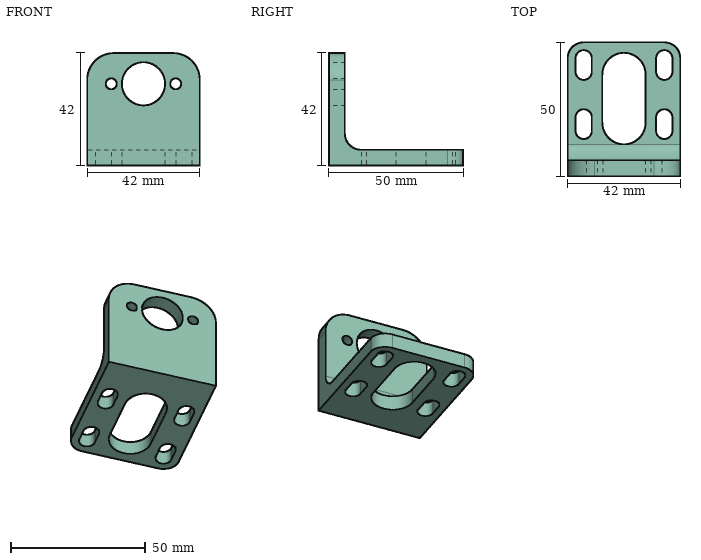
import cadquery as cq

width = 42.0
depth = 50.0
height = 42.0
thickness = 6.0
inner_bend_radius = 6.0
wall_corner_radius = 10.0
base_corner_radius = 6.0

bore_diameter = 16.0
bore_height = 30.5
screw_hole_diameter = 4.0
screw_hole_spacing = 24.0

opening_width = 16.0
opening_length = 34.0
opening_start = thickness + inner_bend_radius

slot_width = 6.0
slot_length = 11.0
slot_spacing_x = 30.0
slot_spacing_y = 22.0
slot_rear_margin = 3.0
rear_slot_y = depth - slot_rear_margin - slot_length / 2


def make_bracket_body():
    """L-shaped body with a rounded inner bend and rounded free corners."""
    body = (
        cq.Workplane("YZ")
        .moveTo(0, 0)
        .lineTo(depth, 0)
        .lineTo(depth, thickness)
        .lineTo(thickness + inner_bend_radius, thickness)
        .radiusArc((thickness, thickness + inner_bend_radius), inner_bend_radius)
        .lineTo(thickness, height)
        .lineTo(0, height)
        .close()
        .extrude(width / 2, both=True)
    )
    body = body.faces(">Y").edges("|Z").fillet(base_corner_radius)
    return body.faces(">Z").edges("|Y").fillet(wall_corner_radius)


def make_wall_holes():
    """Cutters for the bore and the screw hole on each side of it."""
    wall_plane = cq.Workplane("XZ", origin=(0, 0, bore_height))
    bore = wall_plane.circle(bore_diameter / 2).extrude(-thickness)
    screw_holes = (
        wall_plane.pushPoints([(-screw_hole_spacing / 2, 0), (screw_hole_spacing / 2, 0)])
        .circle(screw_hole_diameter / 2)
        .extrude(-thickness)
    )
    return bore.union(screw_holes)


def make_base_slots():
    """Cutters for the central opening and the mounting slots, all lengthwise along Y."""
    opening = (
        cq.Workplane("XY")
        .center(0, opening_start + opening_length / 2)
        .slot2D(opening_length, opening_width, 90)
        .extrude(thickness)
    )
    mounting_slots = (
        cq.Workplane("XY")
        .center(0, rear_slot_y - slot_spacing_y / 2)
        .rarray(slot_spacing_x, slot_spacing_y, 2, 2)
        .slot2D(slot_length, slot_width, 90)
        .extrude(thickness)
    )
    return opening.union(mounting_slots)


result = make_bracket_body().cut(make_wall_holes()).cut(make_base_slots())